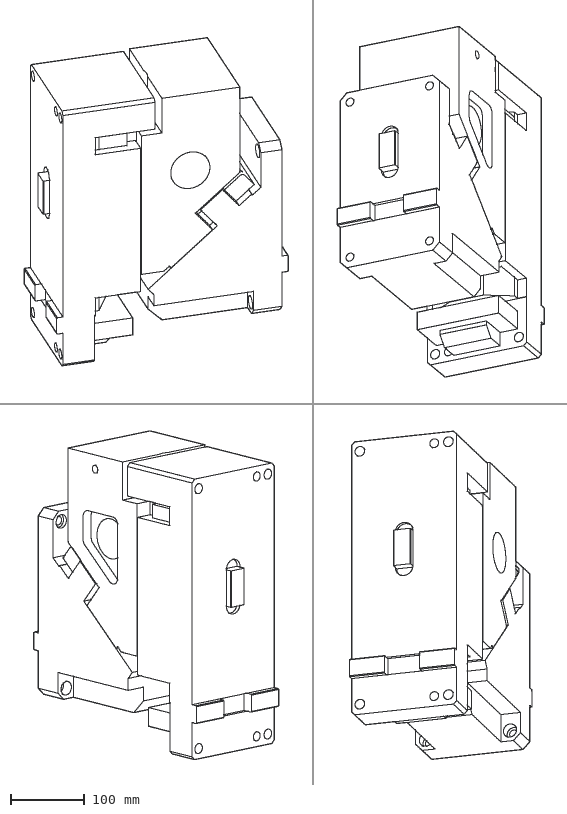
import cadquery as cq
import math


width = 150.0
half_width = width / 2
height = 390.0
depth = 310.0

key_width = 25.0
key_stand = 9.0
key_chamfer = 1.0
keyway_depth = 6.0
bar_key_length = 50.0
post_key_length = 50.7
post_keyway_length = 75.5

head_half_width = half_width - 13.3
neck_half_width = half_width - 23.8
neck_thick = 15.2

plate_thick = 45.0
upper_plate_thick = 46.0
rail_top = 318.2
rail_bottom = 99.0
rail_back = 110.0
roof_bottom = 344.5
roof_back = 130.3
frame_chamfer = 4.5
guide_top = roof_bottom
guide_bottom = 71.8
guide_base_back = 55.0
guide_tip_back = 76.0
guide_flank_angle = 60.0
shelf_back = 103.0
shelf_bottom = 27.0
shelf_top = 53.0
shelf_half_width = half_width - 13.5
rib_half_width = 35.0
rib_back = 87.0
rib_bottom = 7.0
rib_chamfer = 14.0
frame_hole_inset_z = 14.5
frame_hole_x = 63.0
frame_hole_diameter = 13.5
extra_hole_x = 43.0
extra_hole_diameter = 12.5
frame_bar_key_z = 64.7
frame_post_key_z = 229.5

block_front = rail_back + 1.0
block_back = 250.5
block_upper_front = 140.0
block_step_z = 337.0
block_bottom = 125.0
window_diameter = 55.5
window_y = 180.0
window_z = 273.8
pocket_depth = 15.0
pocket_front = 149.8
pocket_back = 219.5
pocket_top = 310.0
pocket_back_bottom = 264.0
pocket_corner_radius = 10.0
tapped_hole_y = 195.5
tapped_hole_z = 370.0
tapped_hole_diameter = 11.0
tapped_hole_depth = 19.5
drill_tip_angle = 118.0
recess_radius = 24.5
recess_y = 117.0
recess_floor_drop = 10.0

slope_angle = 40.0
slope_y = block_back
slope_z = 259.7
slope_rail_start = 33.5
slope_rail_end = 74.0
slope_rail_deep = 1.5
shoulder_along = 82.3
block_deep = 38.0
slope_head_deep = 12.0
head_edge_radius = 5.0
relief_along = 159.0
relief_deep = 34.0
bracket_deep = 38.2
pad_start = 10.5
pad_height = 2.0
bracket_tip_along = 201.5

bracket_bottom = 35.5
bracket_top = 295.2
bracket_plate_front = 280.0
bracket_chamfer = 10.0
bracket_front = 128.7
foot_top = 74.5
foot_back = 270.0
foot_half_width = half_width - 28.0
foot_chamfer = 20.0
bracket_hole_x = 60.0
bracket_hole_inset_z = 15.0
bracket_hole_diameter = 11.7
counterbore_diameter = 18.7
counterbore_floor_y = 286.0
bracket_bar_key_z = 110.0
bracket_post_key_z = 194.5


def box(x_range, y_range, z_range):
    """Box between the given limits."""
    sizes = [high - low for low, high in (x_range, y_range, z_range)]
    return cq.Workplane("XY").box(*sizes, centered=False).translate((x_range[0], y_range[0], z_range[0]))


def centred_box(half_x, y_range, z_range):
    """Box with equal reach on both sides of the middle plane."""
    return box((-half_x, half_x), y_range, z_range)


def side_extrude(points, half_x):
    """Prism with a (Y, Z) outline and equal reach on both sides of the middle plane."""
    return cq.Workplane("YZ").polyline(points).close().extrude(half_x, both=True)


def y_cylinder(diameter, x, z, y_start, y_end):
    """Cylinder along Y."""
    axis = cq.Vector(0, 1, 0)
    start = cq.Vector(x, y_start, z)
    return cq.Workplane(cq.Solid.makeCylinder(diameter / 2, y_end - y_start, start, axis))


def on_slope(along, deep):
    """(Y, Z) of a point given in the frame of the sloped joint."""
    angle = math.radians(slope_angle)
    y = slope_y - along * math.cos(angle) + deep * math.sin(angle)
    z = slope_z - along * math.sin(angle) - deep * math.cos(angle)
    return (y, z)


def slope_at_y(y, deep):
    """(Y, Z) where the plane at the given depth below the sloped joint meets a plane of constant Y."""
    angle = math.radians(slope_angle)
    along = (slope_y + deep * math.sin(angle) - y) / math.cos(angle)
    return on_slope(along, deep)


def slope_at_z(z, deep):
    """(Y, Z) where the plane at the given depth below the sloped joint meets a level plane."""
    angle = math.radians(slope_angle)
    along = (slope_z - deep * math.cos(angle) - z) / math.sin(angle)
    return on_slope(along, deep)


def add_keys(body, face_y, outward, bar_z, post_z):
    """Cut the keyways into an outer plate and add the keys; outward is the sign of Y pointing out."""
    floor_y = face_y - outward * keyway_depth
    crown_y = face_y + outward * key_stand
    keyway_y = sorted((floor_y, face_y))
    key_y = sorted((floor_y, crown_y))
    crown = ">Y" if outward > 0 else "<Y"
    bar_range = (bar_z - key_width / 2, bar_z + key_width / 2)
    body = body.cut(centred_box(half_width, keyway_y, bar_range))
    post_keyway = (
        cq.Workplane("XZ", origin=(0, keyway_y[1], post_z))
        .slot2D(post_keyway_length, key_width, 90)
        .extrude(keyway_depth)
    )
    body = body.cut(post_keyway)
    for x_start in (-half_width, half_width - bar_key_length):
        bar = box((x_start, x_start + bar_key_length), key_y, bar_range)
        body = body.union(bar.faces(crown).edges("|X").chamfer(key_chamfer))
    post_range = (post_z - post_key_length / 2, post_z + post_key_length / 2)
    post = centred_box(key_width / 2, key_y, post_range)
    return body.union(post.faces(crown).edges("|Z").chamfer(key_chamfer))


def make_guide_ridge():
    """Upright ridge on the front plate, tapering towards the rear."""
    taper = (guide_tip_back - guide_base_back) * math.tan(math.radians(guide_flank_angle))
    tip_half_width = head_half_width - taper
    outline = [
        (-head_half_width, plate_thick),
        (head_half_width, plate_thick),
        (head_half_width, guide_base_back),
        (tip_half_width, guide_tip_back),
        (-tip_half_width, guide_tip_back),
        (-head_half_width, guide_base_back),
    ]
    return (
        cq.Workplane("XY", origin=(0, 0, guide_bottom))
        .polyline(outline)
        .close()
        .extrude(guide_top - guide_bottom)
    )


def make_vertical_tee(z_range, neck_end):
    """T-section slide: head between the guide ridge and the neck, neck towards the rear."""
    head_end = rail_back - neck_thick
    head = centred_box(head_half_width, (guide_base_back, head_end), z_range)
    neck = centred_box(neck_half_width, (head_end, neck_end), z_range)
    return head.union(neck)


def make_front_frame():
    """Front plate with roof, side rails, guide ridge, shelf and keys."""
    frame = centred_box(half_width, (0, plate_thick), (0, height))
    frame = frame.union(centred_box(half_width, (0, upper_plate_thick), (guide_bottom, roof_bottom)))
    frame = frame.union(centred_box(half_width, (0, roof_back), (roof_bottom, height)))
    frame = frame.edges("|Y and (>Z or <Z)").chamfer(frame_chamfer)

    rails = centred_box(half_width, (plate_thick, rail_back), (rail_bottom, rail_top))
    rails = rails.cut(make_vertical_tee((rail_bottom, rail_top), rail_back))
    frame = frame.union(rails).union(make_guide_ridge())

    frame = frame.union(centred_box(shelf_half_width, (plate_thick, shelf_back), (shelf_bottom, shelf_top)))
    rib = centred_box(rib_half_width, (plate_thick, rib_back), (rib_bottom, shelf_bottom))
    frame = frame.union(rib.edges("|X and >Y and <Z").chamfer(rib_chamfer))

    holes = [
        (-frame_hole_x, frame_hole_diameter),
        (frame_hole_x, frame_hole_diameter),
        (extra_hole_x, extra_hole_diameter),
    ]
    for z in (frame_hole_inset_z, height - frame_hole_inset_z):
        for x, diameter in holes:
            frame = frame.cut(y_cylinder(diameter, x, z, 0, roof_back))
    return add_keys(frame, 0, -1, frame_bar_key_z, frame_post_key_z)


def make_slope_tee():
    """T-section slide of the sloped joint, with the free end of its head rounded."""
    neck = side_extrude(
        [
            on_slope(0, 0),
            on_slope(shoulder_along, 0),
            on_slope(shoulder_along, block_deep),
            on_slope(0, block_deep),
        ],
        neck_half_width,
    )
    mid_arc = head_edge_radius * (1 - math.sqrt(0.5))
    head = (
        cq.Workplane("YZ")
        .moveTo(*on_slope(head_edge_radius, slope_head_deep))
        .lineTo(*on_slope(shoulder_along, slope_head_deep))
        .lineTo(*on_slope(shoulder_along, block_deep))
        .lineTo(*on_slope(0, block_deep))
        .lineTo(*on_slope(0, slope_head_deep + head_edge_radius))
        .threePointArc(
            on_slope(mid_arc, slope_head_deep + mid_arc),
            on_slope(head_edge_radius, slope_head_deep),
        )
        .close()
        .extrude(head_half_width, both=True)
    )
    return neck.union(head)


def make_slope_slot():
    """Straight T-slot through the bracket's sloped rail."""
    slot_parts = [
        (neck_half_width, slope_rail_deep, slope_head_deep),
        (head_half_width, slope_head_deep, bracket_deep),
    ]
    neck, head = [
        side_extrude(
            [
                on_slope(slope_rail_start, top),
                on_slope(slope_rail_end, top),
                on_slope(slope_rail_end, bottom),
                on_slope(slope_rail_start, bottom),
            ],
            half_x,
        )
        for half_x, top, bottom in slot_parts
    ]
    return neck.union(head)


def make_window_pocket():
    """Shallow pocket around the window, with its lower edge parallel to the slope."""
    fall = (pocket_back - pocket_front) * math.tan(math.radians(slope_angle))
    outline = [
        (pocket_back, pocket_top),
        (pocket_front, pocket_top),
        (pocket_front, pocket_back_bottom - fall),
        (pocket_back, pocket_back_bottom),
    ]
    return (
        cq.Workplane("YZ", origin=(-half_width, 0, 0))
        .polyline(outline)
        .close()
        .extrude(pocket_depth)
        .edges("|X")
        .fillet(pocket_corner_radius)
    )


def make_tapped_hole():
    """Blind drilled hole with a conical end, entering from the -X side."""
    radius = tapped_hole_diameter / 2
    tip_length = radius / math.tan(math.radians(drill_tip_angle / 2))
    start = cq.Vector(-half_width, tapped_hole_y, tapped_hole_z)
    inward = cq.Vector(1, 0, 0)
    bore = cq.Solid.makeCylinder(radius, tapped_hole_depth, start, inward)
    tip = cq.Solid.makeCone(radius, 0, tip_length, start + inward * tapped_hole_depth, inward)
    return cq.Workplane(bore).union(cq.Workplane(tip))


def make_middle_block():
    """Sliding block: vertical T-slide in front, sloped T-slide at the rear, window across."""
    block = side_extrude(
        [
            (block_upper_front, height),
            (block_back, height),
            on_slope(0, 0),
            on_slope(shoulder_along, 0),
            on_slope(shoulder_along, block_deep),
            on_slope(relief_along, block_deep),
            on_slope(relief_along, relief_deep),
            slope_at_z(block_bottom, relief_deep),
            (block_front, block_bottom),
            (block_front, block_step_z),
            (block_upper_front, block_step_z),
        ],
        half_width,
    )
    tongue = make_vertical_tee((block_bottom, block_step_z), block_front)
    block = block.union(tongue.cut(make_guide_ridge())).union(make_slope_tee())

    window = cq.Workplane("YZ").center(window_y, window_z).circle(window_diameter / 2)
    block = block.cut(window.extrude(half_width, both=True))
    block = block.cut(make_window_pocket()).cut(make_tapped_hole())

    recess_floor = block_step_z - recess_floor_drop
    recess = cq.Workplane("XY", origin=(0, recess_y, recess_floor)).circle(recess_radius)
    return block.cut(recess.extrude(height - recess_floor))


def make_rear_bracket():
    """Rear plate with the sloped rail, foot and keys."""
    plate = centred_box(half_width, (bracket_plate_front, depth), (bracket_bottom, bracket_top))
    lower_plate = centred_box(half_width, (foot_back, depth), (bracket_bottom, foot_top))
    plate = plate.union(lower_plate).edges("|Y and (>Z or <Z)").chamfer(bracket_chamfer)

    strip_deep = bracket_deep + pad_height
    strip_end = slope_at_y(bracket_plate_front, strip_deep)
    tip = on_slope(bracket_tip_along, bracket_deep)
    undercut_rise = (tip[0] - bracket_front) / math.tan(math.radians(slope_angle))
    wedge = side_extrude(
        [
            (depth, foot_top),
            (bracket_front, foot_top),
            (bracket_front, tip[1] + undercut_rise),
            tip,
            on_slope(slope_rail_end, bracket_deep),
            on_slope(slope_rail_end, slope_rail_deep),
            on_slope(slope_rail_start, slope_rail_deep),
            on_slope(slope_rail_start, bracket_deep),
            on_slope(pad_start, bracket_deep),
            on_slope(pad_start, strip_deep),
            strip_end,
            (depth, strip_end[1]),
        ],
        half_width,
    )
    bracket = plate.union(wedge.cut(make_slope_slot()))

    foot = centred_box(foot_half_width, (bracket_front, foot_back), (bracket_bottom, foot_top))
    bracket = bracket.union(foot.edges("|X and <Y and <Z").chamfer(foot_chamfer))

    hole_heights = (bracket_bottom + bracket_hole_inset_z, bracket_top - bracket_hole_inset_z)
    for x in (-bracket_hole_x, bracket_hole_x):
        for z in hole_heights:
            bracket = bracket.cut(y_cylinder(bracket_hole_diameter, x, z, foot_back, depth))
            bracket = bracket.cut(y_cylinder(counterbore_diameter, x, z, foot_back, counterbore_floor_y))
    return add_keys(bracket, depth, 1, bracket_bar_key_z, bracket_post_key_z)


front_frame = make_front_frame()
middle_block = make_middle_block()
rear_bracket = make_rear_bracket()
result = cq.Compound.makeCompound(
    [front_frame.solids().val(), middle_block.solids().val(), rear_bracket.solids().val()]
)